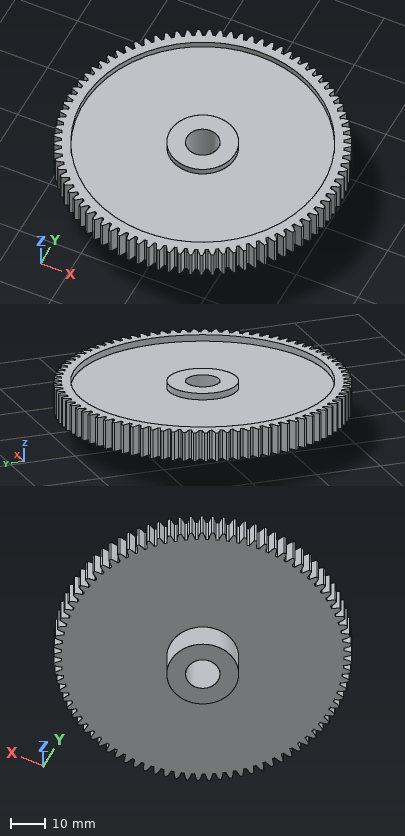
import cadquery as cq
import math

outer_diameter = 87.0
tooth_count = 85
gear_width = 9.0
total_height = 18.0
bore_diameter = 10.0

hub_diameter = 21.0
hub_drop = total_height - gear_width

recess_diameter = 77.0
recess_depth = 2.0

pressure_angle = math.radians(20)
dedendum_factor = 1.25
module = outer_diameter / (tooth_count + 2)
tip_radius = outer_diameter / 2
pitch_radius = tip_radius - module
root_radius = pitch_radius - dedendum_factor * module
base_radius = pitch_radius * math.cos(pressure_angle)
pitch_angle = 2 * math.pi / tooth_count
first_tooth_angle = -math.pi / 2


def polar(radius, angle):
    return (radius * math.cos(angle), radius * math.sin(angle))


def involute(angle):
    return math.tan(angle) - angle


def half_tooth_angle(radius):
    """Angle from the tooth centre line to its involute flank at a radius."""
    flank_angle = math.acos(base_radius / radius)
    return pitch_angle / 4 + involute(pressure_angle) - involute(flank_angle)


def toothed_outline():
    """Closed gear outline; each flank is an arc through three involute points."""
    root_half = half_tooth_angle(root_radius)
    pitch_half = half_tooth_angle(pitch_radius)
    tip_half = half_tooth_angle(tip_radius)
    outline = cq.Workplane("XY").moveTo(*polar(root_radius, first_tooth_angle - root_half))
    for tooth in range(tooth_count):
        centre = first_tooth_angle + tooth * pitch_angle
        next_root = centre + pitch_angle - root_half
        outline = (
            outline
            .threePointArc(polar(pitch_radius, centre - pitch_half), polar(tip_radius, centre - tip_half))
            .threePointArc(polar(tip_radius, centre), polar(tip_radius, centre + tip_half))
            .threePointArc(polar(pitch_radius, centre + pitch_half), polar(root_radius, centre + root_half))
            .threePointArc(polar(root_radius, centre + pitch_angle / 2), polar(root_radius, next_root))
        )
    return outline.close()


def cylinder(diameter, bottom, height):
    return cq.Workplane("XY").workplane(offset=bottom).circle(diameter / 2).extrude(height)


gear = toothed_outline().extrude(gear_width).translate((0, 0, hub_drop))
recess = cylinder(recess_diameter, total_height - recess_depth, recess_depth)
hub = cylinder(hub_diameter, 0, total_height)
bore = cylinder(bore_diameter, 0, total_height)

result = gear.cut(recess).union(hub).cut(bore)